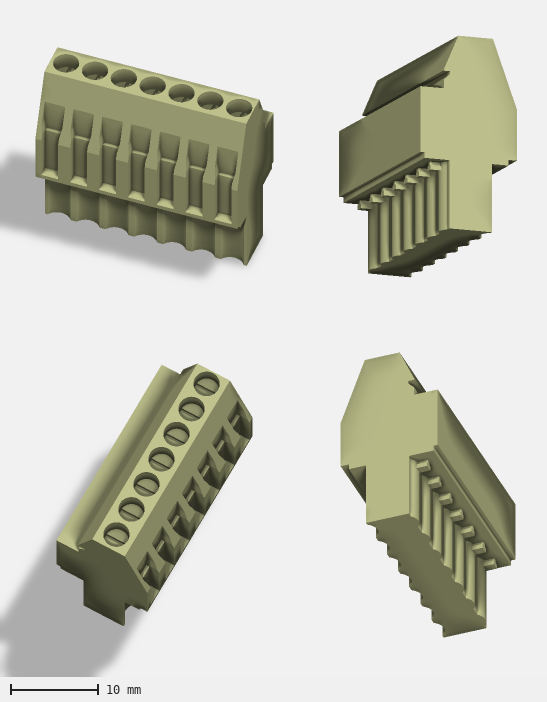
import cadquery as cq

POLES = 7
LENGTH = 24.5
PITCH = LENGTH / POLES

DEPTH = 11.83
HEIGHT = 22.6
TOP_FRONT = 2.95
TOP_BACK = 7.18
FRONT_SLOPE_Z = 14.6
LEDGE_Z = 16.3
STEM_BACK = 8.95
LIP_BACK = 9.05
LIP_Z = 18.35
NOTCH_Y = 8.2
NOTCH_FLAT = 0.32
NOTCH_LOW_Z = 17.35
STEP_Z = 8.62
FRONT_STEP = 1.0
BACK_STEP = 0.51
PLUG_HEIGHT = 7.96

PLUG_FRONT = 3.09
PLUG_BACK = 8.3
LOBE_RADIUS = 1.5
LOBE_BACK = 8.82
LOBE_CENTRE_Y = LOBE_BACK - LOBE_RADIUS
SCALLOP_RADIUS = 1.65
SCALLOP_INSET = 0.88
SCALLOP_CENTRE_Y = PLUG_FRONT - SCALLOP_INSET

KEY_BACK = 10.07
KEY_BOTTOM = 6.98
KEY_LIP_HEIGHT = 0.55
KEY_NECK_WIDTH = 0.5
KEY_LIP_WIDTH = 0.98

POCKET_WIDTH = 2.03
POCKET_BOTTOM = 9.15
POCKET_DEPTH = 1.25
FUNNEL_WIDTH = 2.5
FUNNEL_TOP = 19.13
FUNNEL_BOTTOM = 15.15
TAPER_TOP = 16.54
TAPER_BOTTOM = 15.31
FUNNEL_DEPTH = TOP_FRONT * (FUNNEL_TOP - FRONT_SLOPE_Z) / (HEIGHT - FRONT_SLOPE_Z)

SCREW_X_OFFSET = 0.1
SCREW_Y = (TOP_FRONT + TOP_BACK) / 2
HOLE_DIAMETER = 3.0
SCREW_RECESS = 1.95
SCREW_DIAMETER = 2.82
SCREW_HEIGHT = 2.95
HOLE_DEPTH = SCREW_RECESS + SCREW_HEIGHT
SLOT_WIDTH = 0.4
SLOT_DEPTH = 0.5

POLE_XS = [(i - (POLES - 1) / 2) * PITCH for i in range(POLES)]


def box(x_mid, width, y_range, z_range):
    """Box centred on x_mid, between the given Y and Z limits."""
    y_low, y_high = y_range
    z_low, z_high = z_range
    base = cq.Workplane("XY", origin=(x_mid, y_low, z_low))
    return base.box(width, y_high - y_low, z_high - z_low, centered=(True, False, False))


def screw_cylinder(x, diameter, bottom, height):
    """Upright cylinder on a screw axis."""
    base = cq.Workplane("XY", origin=(x + SCREW_X_OFFSET, SCREW_Y, bottom))
    return base.circle(diameter / 2).extrude(height)


def housing_block():
    outline = [
        (FRONT_STEP, PLUG_HEIGHT),
        (FRONT_STEP, STEP_Z),
        (0, STEP_Z),
        (0, FRONT_SLOPE_Z),
        (TOP_FRONT, HEIGHT),
        (TOP_BACK, HEIGHT),
        (LIP_BACK, LIP_Z),
        (NOTCH_Y, LIP_Z),
        (NOTCH_Y, LIP_Z - NOTCH_FLAT),
        (STEM_BACK, NOTCH_LOW_Z),
        (STEM_BACK, LEDGE_Z),
        (DEPTH, LEDGE_Z),
        (DEPTH, STEP_Z),
        (DEPTH - BACK_STEP, STEP_Z),
        (DEPTH - BACK_STEP, PLUG_HEIGHT),
    ]
    return cq.Workplane("YZ").polyline(outline).close().extrude(LENGTH / 2, both=True)


def plug_cylinder(x, y, radius):
    """Upright cylinder over the full height of the plug."""
    return cq.Workplane("XY").center(x, y).circle(radius).extrude(PLUG_HEIGHT)


def plug():
    """Block with one rounded lobe per pole at the back and one round scallop per pole at the front."""
    block = box(0, LENGTH, (PLUG_FRONT, PLUG_BACK), (0, PLUG_HEIGHT))
    for x in POLE_XS:
        lobe = plug_cylinder(x, LOBE_CENTRE_Y, LOBE_RADIUS)
        scallop = plug_cylinder(x, SCALLOP_CENTRE_Y, SCALLOP_RADIUS)
        block = block.union(lobe).cut(scallop)
    return block


def coding_key(x):
    y_range = (PLUG_BACK, KEY_BACK)
    lip_top = KEY_BOTTOM + KEY_LIP_HEIGHT
    neck = box(x, KEY_NECK_WIDTH, y_range, (lip_top, PLUG_HEIGHT))
    lip = box(x, KEY_LIP_WIDTH, y_range, (KEY_BOTTOM, lip_top))
    return neck.union(lip)


def wire_pocket(x):
    """Rectangular pocket with a deeper, wider funnel at its top."""
    pocket = box(x, POCKET_WIDTH, (0, POCKET_DEPTH), (POCKET_BOTTOM, FUNNEL_BOTTOM))
    narrow = POCKET_WIDTH / 2
    wide = FUNNEL_WIDTH / 2
    funnel = (
        cq.Workplane("XZ", origin=(x, 0, 0))
        .polyline([
            (-narrow, FUNNEL_BOTTOM),
            (narrow, FUNNEL_BOTTOM),
            (narrow, TAPER_BOTTOM),
            (wide, TAPER_TOP),
            (wide, FUNNEL_TOP),
            (-wide, FUNNEL_TOP),
            (-wide, TAPER_TOP),
            (-narrow, TAPER_BOTTOM),
        ])
        .close()
        .extrude(-FUNNEL_DEPTH)
    )
    return pocket.union(funnel)


def make_housing():
    body = housing_block().union(plug())
    for x in POLE_XS:
        body = body.union(coding_key(x))
        body = body.cut(wire_pocket(x))
        body = body.cut(screw_cylinder(x, HOLE_DIAMETER, HEIGHT - HOLE_DEPTH, HOLE_DEPTH))
    return body


def make_screw(x):
    """Cylindrical screw standing on the bottom of its hole, with a driver slot along Y."""
    bottom = HEIGHT - HOLE_DEPTH
    top = bottom + SCREW_HEIGHT
    reach = SCREW_DIAMETER / 2
    slot = box(x + SCREW_X_OFFSET, SLOT_WIDTH, (SCREW_Y - reach, SCREW_Y + reach), (top - SLOT_DEPTH, top))
    return screw_cylinder(x, SCREW_DIAMETER, bottom, SCREW_HEIGHT).cut(slot)


housing = make_housing()
screws = [make_screw(x) for x in POLE_XS]

result = cq.Compound.makeCompound([housing.val(), *[screw.val() for screw in screws]])